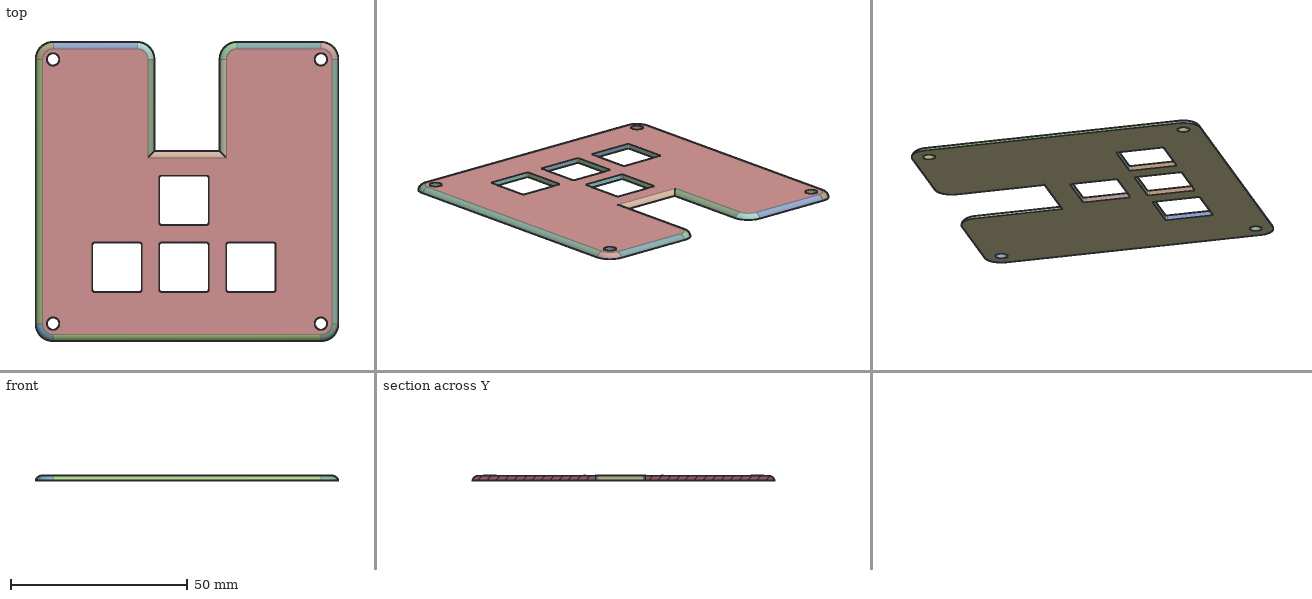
import cadquery as cq
import math

length = 86.05
width = 85.0
thickness = 1.5
corner_radius = 5.0

rim_radius = 2.0
arc_center_height = thickness - rim_radius
rim_run = math.sqrt(rim_radius**2 - arc_center_height**2)
rim_overhang = rim_radius - rim_run

notch_width = 18.4
notch_depth = 31.0

hole_diameter = 3.4

window_size = 13.9
window_corner_radius = 0.5
window_pitch = 19.0
window_center_x = -0.9
row_height = 21.0
row_center_y = row_height - width / 2


def make_blank():
    """Notched blank, deep and wide enough to hold the full quarter-round rim."""
    blank_length = length + 2 * rim_overhang
    blank_width = width + 2 * rim_overhang
    blank = (
        cq.Workplane("XY", origin=(0, 0, arc_center_height - rim_radius))
        .rect(blank_length, blank_width)
        .extrude(2 * rim_radius)
    )
    notch = (
        cq.Workplane("XY", origin=(0, width / 2, arc_center_height - rim_radius))
        .rect(notch_width - 2 * rim_overhang, 2 * (notch_depth - rim_overhang))
        .extrude(2 * rim_radius)
    )
    blank = blank.cut(notch)
    blank_corner_radius = corner_radius + rim_overhang
    blank = blank.edges("|Z and (<Y or >Y)").fillet(blank_corner_radius)
    return blank.faces(">Z").edges().fillet(rim_radius)


def trim_below_underside(blank):
    """Remove everything under Z = 0."""
    return blank.intersect(cq.Workplane("XY").rect(2 * length, 2 * width).extrude(thickness))


def cut_screw_holes(plate):
    spacing_x = length - 2 * corner_radius
    spacing_y = width - 2 * corner_radius
    holes = (
        cq.Workplane("XY")
        .rect(spacing_x, spacing_y, forConstruction=True)
        .vertices()
        .circle(hole_diameter / 2)
        .extrude(thickness)
    )
    return plate.cut(holes)


def cut_windows(plate):
    row = [(window_center_x + i * window_pitch, row_center_y) for i in (-1, 0, 1)]
    upper = (window_center_x, row_center_y + window_pitch)
    windows = (
        cq.Workplane("XY")
        .pushPoints(row + [upper])
        .rect(window_size, window_size)
        .extrude(thickness)
        .edges("|Z")
        .fillet(window_corner_radius)
    )
    return plate.cut(windows)


result = cut_windows(cut_screw_holes(trim_below_underside(make_blank())))